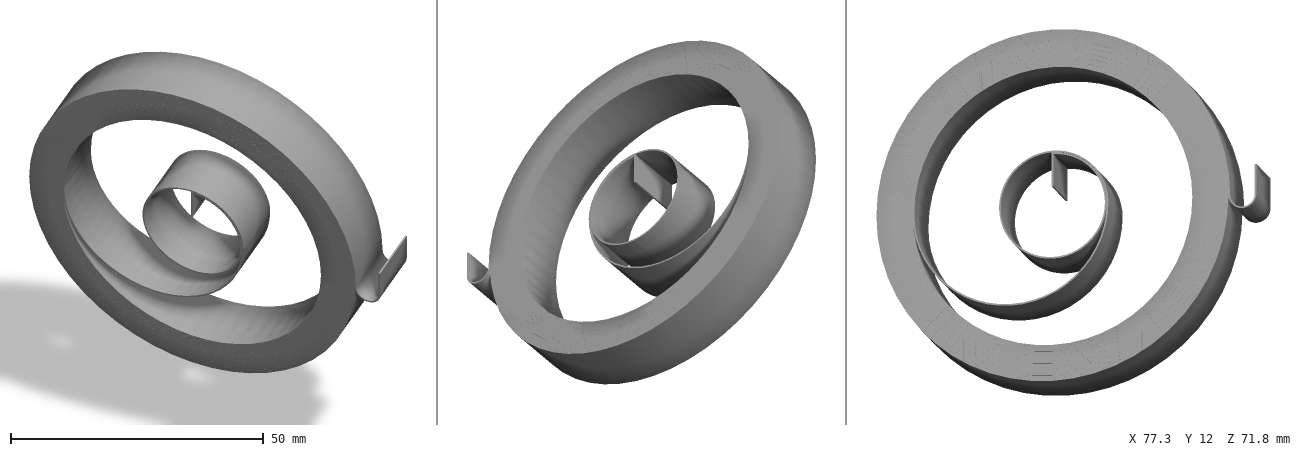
import cadquery as cq
import math

thickness = 0.35
width = 12.0
turn_gap = 0.002
pitch = thickness + turn_gap

overall_length = 77.35
coil_diameter = 72.0
coil_turns = 21

hub_radius = 10.7
hub_growth = 0.4
tab_tip_height = 3.95

hook_leg_height = 6.0

outer_turn_radius = (coil_diameter - thickness) / 2
inner_turn_radius = outer_turn_radius - coil_turns * pitch
hook_radius = (overall_length - coil_diameter) / 2

RIGHT, TOP, LEFT, BOTTOM = 0, 90, 180, 270
HALF_TURN = 180
QUARTER_TURN = 90


def arc(center_x, center_z, radius, start, sweep):
    """One arc of the strip's middle line; a negative sweep runs clockwise."""
    return (center_x, center_z, radius, start, sweep)


def hub_arcs():
    """One turn from the top, then a quarter turn outside it, ending at the right."""
    return [
        arc(0, 0, hub_radius, TOP, -HALF_TURN),
        arc(0, hub_growth / 2, hub_radius + hub_growth / 2, BOTTOM, -HALF_TURN),
        arc(0, 0, hub_radius + hub_growth, TOP, -QUARTER_TURN),
    ]


def lead_out_arc():
    """Half circle below the hub, from its right side to the left of the innermost turn."""
    right_x = hub_radius + hub_growth
    left_x = -inner_turn_radius
    return arc((right_x + left_x) / 2, 0, (right_x - left_x) / 2, RIGHT, -HALF_TURN)


def coil_arcs():
    """Half circles above and below; each lower one is shifted to widen the turn by one pitch."""
    arcs = []
    for turn in range(coil_turns):
        radius = inner_turn_radius + turn * pitch
        arcs.append(arc(0, 0, radius, LEFT, -HALF_TURN))
        arcs.append(arc(-pitch / 2, 0, radius + pitch / 2, RIGHT, -HALF_TURN))
    arcs.append(arc(0, 0, outer_turn_radius, LEFT, -HALF_TURN))
    return arcs


def hook_arc():
    """Half circle that turns the strip back upwards outside the coil."""
    return arc(outer_turn_radius + hook_radius, 0, hook_radius, LEFT, HALF_TURN)


def side_point(strip_arc, offset, fraction):
    """Point part-way along an arc, moved by offset to the left of the travel direction."""
    center_x, center_z, radius, start, sweep = strip_arc
    side_radius = radius - offset * math.copysign(1, sweep)
    angle = math.radians(start + fraction * sweep)
    return (center_x + side_radius * math.cos(angle), center_z + side_radius * math.sin(angle))


def build_strip():
    """Edge-on outline of the whole strip, extruded to its width about the XZ plane."""
    arcs = hub_arcs() + [lead_out_arc()] + coil_arcs() + [hook_arc()]
    half = thickness / 2
    leg_x = outer_turn_radius + 2 * hook_radius

    outline = cq.Workplane("XZ", origin=(0, width / 2, 0)).moveTo(-thickness, tab_tip_height)
    outline = outline.lineTo(-thickness, hub_radius + half)
    outline = outline.lineTo(*side_point(arcs[0], half, 0))
    for strip_arc in arcs:
        outline = outline.threePointArc(side_point(strip_arc, half, 0.5), side_point(strip_arc, half, 1))
    outline = outline.lineTo(leg_x - half, hook_leg_height)

    outline = outline.lineTo(leg_x + half, hook_leg_height)
    outline = outline.lineTo(*side_point(arcs[-1], -half, 1))
    for strip_arc in reversed(arcs):
        outline = outline.threePointArc(side_point(strip_arc, -half, 0.5), side_point(strip_arc, -half, 0))
    outline = outline.lineTo(0, tab_tip_height)

    return outline.close().extrude(width)


result = build_strip()